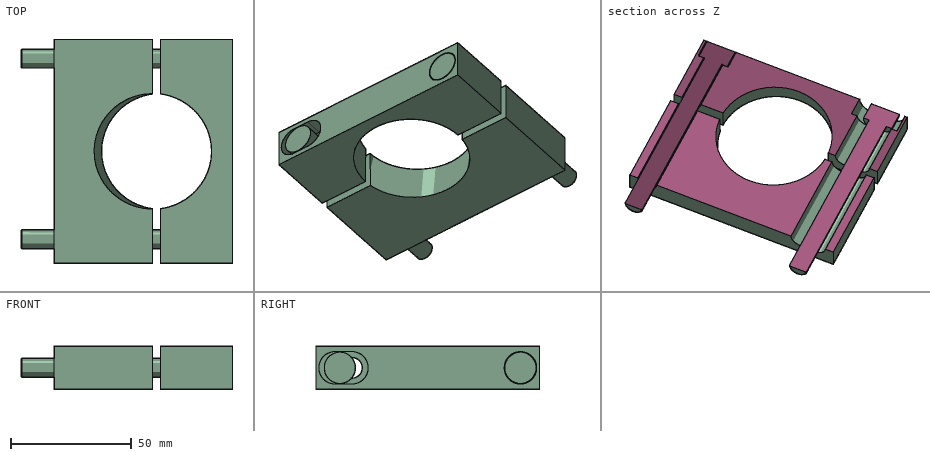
import cadquery as cq
import math


block_width = 93.0
block_height = 18.0
gap = 3.2
rear_half_length = 41.0
front_half_length = 30.0
rear_inner_face = -gap / 2
rear_outer_face = rear_inner_face - rear_half_length
front_inner_face = gap / 2
front_outer_face = front_inner_face + front_half_length

bore_diameter = 48.0
bore_tilt = 10.0
bore_cut_length = 4 * block_height

shank_diameter = 8.0
shank_length = 80.0
tip_chamfer = 0.5
head_diameter = 13.0
head_height = 8.0
head_seat = front_outer_face - head_height
hole_offset = 38.5
slot_travel = 7.0
slot_center = -hole_offset + slot_travel / 2
slot_screw_inset = 2.0
screw_positions = [hole_offset, -hole_offset + slot_screw_inset]

passage_diameter = 8.5
counterbore_diameter = 13.5


def passages(diameter, start, end):
    """Round hole on the +Y side and slot on the -Y side, running along X from start to end."""
    plane = cq.Workplane("YZ", origin=(start, 0, 0))
    hole = plane.center(hole_offset, 0).circle(diameter / 2).extrude(end - start)
    slot = plane.center(slot_center, 0).slot2D(slot_travel + diameter, diameter).extrude(end - start)
    return hole.union(slot)


def make_bore():
    """Cylinder for the clamped tube, leaning in the XZ plane."""
    tilt = math.radians(bore_tilt)
    axis = cq.Vector(math.sin(tilt), 0, -math.cos(tilt))
    start = axis * (-bore_cut_length / 2)
    return cq.Workplane(cq.Solid.makeCylinder(bore_diameter / 2, bore_cut_length, start, axis))


def make_half(start, end):
    """Half block between two X positions, with its share of the bore and the screw passages."""
    block = cq.Workplane("XY").box(end - start, block_width, block_height)
    block = block.translate(((start + end) / 2, 0, 0))
    return block.cut(make_bore()).cut(passages(passage_diameter, start, end))


def make_rear_half():
    """Half on the -X side, which the screw tips stick out of."""
    return make_half(rear_outer_face, rear_inner_face)


def make_front_half():
    """Half on the +X side, with counterbores that hide the screw heads."""
    half = make_half(front_inner_face, front_outer_face)
    return half.cut(passages(counterbore_diameter, head_seat, front_outer_face))


def make_screw(y):
    """Cap screw with a chamfered tip towards -X and its head flush with the front half."""
    seat = cq.Workplane("YZ", origin=(head_seat, y, 0))
    shank = seat.circle(shank_diameter / 2).extrude(-shank_length)
    shank = shank.faces("<X").chamfer(tip_chamfer)
    head = seat.circle(head_diameter / 2).extrude(head_height)
    return shank.union(head)


rear_half = make_rear_half()
front_half = make_front_half()
screws = [make_screw(y) for y in screw_positions]

result = cq.Compound.makeCompound([body.solids().val() for body in [rear_half, front_half, *screws]])